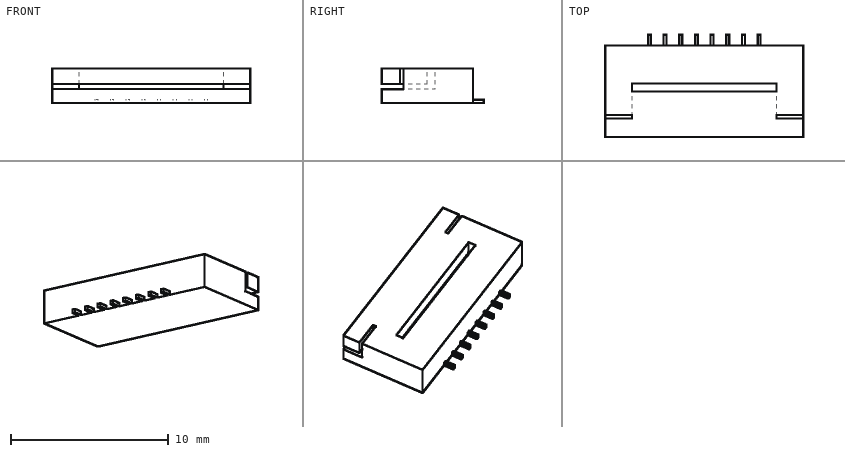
import cadquery as cq

length = 12.6
overall_depth = 6.5
depth = 5.82
height = 2.2

cable_slot_bottom = 0.9
cable_slot_height = 0.32
cable_slot_top = cable_slot_bottom + cable_slot_height
side_gap_depth = 1.39
cable_width = 9.15

window_front = 2.9
window_width = 0.49
window_back = window_front + window_width

slit_width = 0.2
slit_length = (length - cable_width) / 2

tail_count = 8
tail_pitch = 1.0
tail_width = 0.2
tail_thickness = 0.23
tail_length = overall_depth - depth


def block(x_center, x_size, y_start, y_size, z_start, z_size):
    """Box centred on x_center, growing along +Y and +Z from its start corner."""
    return (
        cq.Workplane("XY")
        .box(x_size, y_size, z_size, centered=(True, False, False))
        .translate((x_center, y_start, z_start))
    )


result = block(0, length, 0, depth, 0, height)

result = result.cut(block(0, length, 0, side_gap_depth, cable_slot_bottom, cable_slot_height))
result = result.cut(block(0, cable_width, 0, window_back, cable_slot_bottom, cable_slot_height))

result = result.cut(
    block(0, cable_width, window_front, window_width, cable_slot_bottom, height - cable_slot_bottom)
)

for side in (-1, 1):
    slit_center = side * (length - slit_length) / 2
    slit_front = side_gap_depth - slit_width
    result = result.cut(
        block(slit_center, slit_length, slit_front, slit_width, cable_slot_top, height - cable_slot_top)
    )

for index in range(tail_count):
    tail_x = (index - (tail_count - 1) / 2) * tail_pitch
    result = result.union(block(tail_x, tail_width, depth, tail_length, 0, tail_thickness))